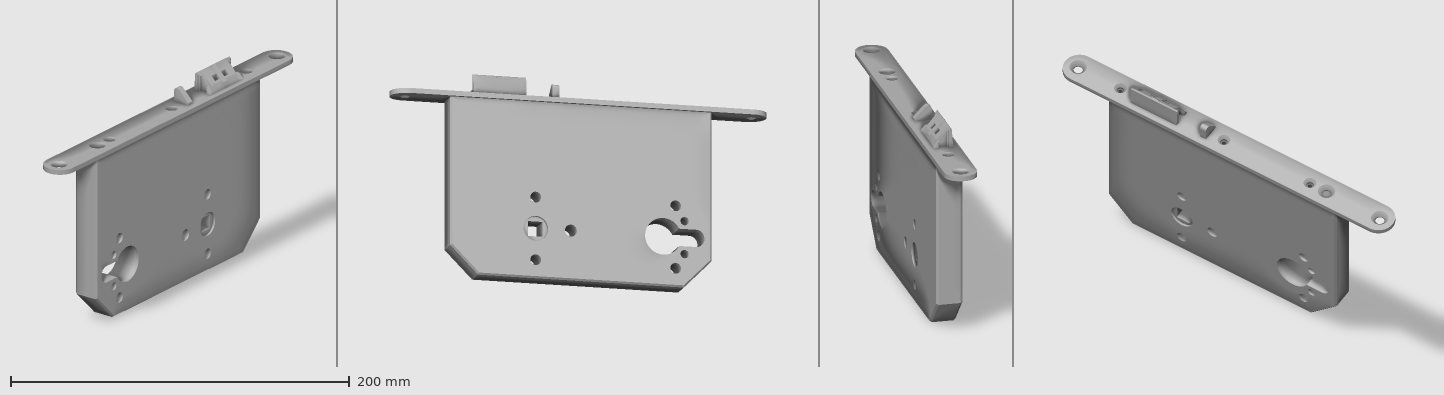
import cadquery as cq
import math


PLATE_WIDTH = 20.0
PLATE_LENGTH = 230.0
PLATE_THICK = 3.0
FIXING_HOLE_Y = PLATE_LENGTH / 2 - 9.0
EXTRA_HOLE_Y = -68.6
FIXING_HOLE_DIA = 5.5
FIXING_SINK_DIA = 10.3
SCREW_YS = (76.3, 3.5, -56.9)
SCREW_HOLE_DIA = 4.1
SCREW_PILOT_DIA = 2.6
SCREW_SINK_DIA = 7.6
SCREW_DEPTH_IN_CASE = 6.0
DRILL_TIP_ANGLE = 118.0
SINK_ANGLE = 90.0

CASE_THICK = 16.0
CASE_LENGTH = 160.0
CASE_BOTTOM_Z = -110.0
CASE_CORNER_CUT = 17.0
EDGE_BEVEL_X = 1.4
EDGE_BEVEL_IN = 1.0

FOLLOWER_Y = 28.0
OPENINGS_Z = -80.0
CYLINDER_Y = FOLLOWER_Y - 78.0
CYLINDER_DIA = 22.2
KEY_SLOT_WIDTH = 10.5
KEY_SLOT_END_Y = CYLINDER_Y - 20.0
HANDLE_HOLE_SPACING = 38.0
HANDLE_HOLE_DIA = 6.5
HANDLE_HOLE_YS = (FOLLOWER_Y, -57.6)
SMALL_HOLE_Y = -63.1
SMALL_HOLE_SPACING = 20.0
SMALL_HOLE_DIA = 5.0
MIDDLE_HOLE_Y = 6.5
MIDDLE_HOLE_DIA = 7.2

FOLLOWER_DIA = 15.0
FOLLOWER_SQUARE = 9.0
FOLLOWER_INSET = 1.5

LATCH_Y = 49.3
LATCH_LENGTH = 32.5
LATCH_HALF_WIDTH = 5.9
LATCH_HEIGHT = 12.0
LATCH_TIP_X = -4.3
LATCH_TIP_BEVEL = 0.7
LATCH_CREASE_X = 3.5
LATCH_CREASE_RADIUS = 3.0
LATCH_CORE_LENGTH = 24.3
WALL_BACK_X = -3.4
RECESS_START_X = -2.4
RECESS_END_X = 2.4
RECESS_FLARE_X = 3.2
RECESS_LIP = 1.2
RECESS_DEPTH = 2.7
RIB_LENGTH = 4.2
RIB_RISE = 0.4
RIB_CREASE_X = 4.8
RIB_FOOT_Z = 10.0
POCKET_LENGTH = 4.5
POCKET_START_X = -0.2
POCKET_VALLEY_X = 1.2
POCKET_END_X = 2.4
POCKET_DROP = 5.0

AUX_Y = 14.9
AUX_LENGTH = 4.2
AUX_HALF_WIDTH = 5.3
AUX_HEIGHT = 9.0
AUX_NOSE_RADIUS = 2.1


def cylinder_along_x(y, z, diameter, length):
    """Cylinder centred on X = 0 with its axis along X."""
    return (
        cq.Workplane("YZ", origin=(-length / 2, 0, 0))
        .center(y, z)
        .circle(diameter / 2)
        .extrude(length)
    )


def prism_along_y(points, y, length):
    """Prism with an XZ outline, centred on the given Y."""
    return (
        cq.Workplane("XZ", origin=(0, y + length / 2, 0))
        .polyline(points)
        .close()
        .extrude(length)
    )


def latch_footprint():
    """Outline of the latch bolt with a flared recess in each end."""
    half = LATCH_LENGTH / 2
    upper = [
        (-LATCH_HALF_WIDTH, half),
        (WALL_BACK_X, half),
        (WALL_BACK_X, half - RECESS_LIP),
        (RECESS_START_X, half - RECESS_LIP),
        (RECESS_START_X, half - RECESS_DEPTH),
        (RECESS_END_X, half - RECESS_DEPTH),
        (RECESS_END_X, half - RECESS_LIP),
        (RECESS_FLARE_X, half),
        (LATCH_HALF_WIDTH, half),
    ]
    lower = [(x, -y) for x, y in reversed(upper)]
    return (
        cq.Workplane("XY", origin=(0, LATCH_Y, -PLATE_THICK))
        .polyline(upper + lower)
        .close()
    )


def aux_footprint():
    """Outline of the auxiliary bolt."""
    return cq.Workplane("XY", origin=(0, AUX_Y, -PLATE_THICK)).rect(2 * AUX_HALF_WIDTH, AUX_LENGTH)


def make_plate():
    """Round-ended plate with countersunk holes and openings for both bolts."""
    plate = (
        cq.Workplane("XY", origin=(0, 0, -PLATE_THICK))
        .slot2D(PLATE_LENGTH, PLATE_WIDTH, 90)
        .extrude(PLATE_THICK)
    )
    top = plate.faces(">Z").workplane(origin=(0, 0, 0))
    plate = top.pushPoints([(0, FIXING_HOLE_Y), (0, EXTRA_HOLE_Y), (0, -FIXING_HOLE_Y)]).cskHole(
        FIXING_HOLE_DIA, FIXING_SINK_DIA, SINK_ANGLE
    )
    top = plate.faces(">Z").workplane(origin=(0, 0, 0))
    plate = top.pushPoints([(0, y) for y in SCREW_YS]).cskHole(
        SCREW_HOLE_DIA, SCREW_SINK_DIA, SINK_ANGLE
    )
    plate = plate.cut(latch_footprint().extrude(PLATE_THICK))
    return plate.cut(aux_footprint().extrude(PLATE_THICK))


def case_slab(inset, thickness):
    """Case outline shrunk by an inset at the sides and bottom, centred on X = 0."""
    half = CASE_LENGTH / 2 - inset
    bottom = CASE_BOTTOM_Z + inset
    cut = CASE_CORNER_CUT - inset * (2 - math.sqrt(2))
    return (
        cq.Workplane("YZ", origin=(-thickness / 2, 0, 0))
        .moveTo(half, -PLATE_THICK)
        .lineTo(half, bottom + cut)
        .lineTo(half - cut, bottom)
        .lineTo(cut - half, bottom)
        .lineTo(-half, bottom + cut)
        .lineTo(-half, -PLATE_THICK)
        .close()
    )


def beveled_case_blank():
    """Case block with beveled side and bottom edges on both broad faces."""
    middle_thick = CASE_THICK - 2 * EDGE_BEVEL_X
    blank = case_slab(0, middle_thick).extrude(middle_thick)
    rim_wire = case_slab(0, middle_thick).val()
    face_wire = case_slab(EDGE_BEVEL_IN, CASE_THICK).val()
    bevel = cq.Workplane(obj=cq.Solid.makeLoft([face_wire, rim_wire], True))
    return blank.union(bevel).union(bevel.mirror("YZ"))


def cylinder_opening():
    """Round cylinder hole with a round-ended key slot."""
    slot_length = CYLINDER_Y - KEY_SLOT_END_Y
    slot = cq.Workplane("XY").box(CASE_THICK, slot_length, KEY_SLOT_WIDTH).translate(
        (0, CYLINDER_Y - slot_length / 2, OPENINGS_Z)
    )
    slot_end = cylinder_along_x(KEY_SLOT_END_Y, OPENINGS_Z, KEY_SLOT_WIDTH, CASE_THICK)
    opening = cylinder_along_x(CYLINDER_Y, OPENINGS_Z, CYLINDER_DIA, CASE_THICK)
    return opening.union(slot).union(slot_end)


def screw_pilot(y):
    """Blind drilled hole with a conical end, going down from the top of the case."""
    radius = SCREW_PILOT_DIA / 2
    tip = radius / math.tan(math.radians(DRILL_TIP_ANGLE / 2))
    bottom = -SCREW_DEPTH_IN_CASE
    profile = [(0, 0), (radius, 0), (radius, bottom), (0, bottom - tip)]
    return (
        cq.Workplane("XZ")
        .polyline(profile)
        .close()
        .revolve(360, (0, 0), (0, 1))
        .translate((0, y, -PLATE_THICK))
    )


def make_case():
    """Case with every opening cut through it and blind holes for the plate screws."""
    case = beveled_case_blank().cut(cylinder_opening())
    case = case.cut(cylinder_along_x(FOLLOWER_Y, OPENINGS_Z, FOLLOWER_DIA, CASE_THICK))
    case = case.cut(cylinder_along_x(MIDDLE_HOLE_Y, OPENINGS_Z, MIDDLE_HOLE_DIA, CASE_THICK))
    for side in (-1, 1):
        handle_z = OPENINGS_Z + side * HANDLE_HOLE_SPACING / 2
        for y in HANDLE_HOLE_YS:
            case = case.cut(cylinder_along_x(y, handle_z, HANDLE_HOLE_DIA, CASE_THICK))
        small_z = OPENINGS_Z + side * SMALL_HOLE_SPACING / 2
        case = case.cut(cylinder_along_x(SMALL_HOLE_Y, small_z, SMALL_HOLE_DIA, CASE_THICK))
    for y in SCREW_YS:
        case = case.cut(screw_pilot(y))
    return case


def make_follower():
    """Round follower with a square hole, set in from both case faces."""
    length = CASE_THICK - 2 * FOLLOWER_INSET
    follower = cylinder_along_x(FOLLOWER_Y, OPENINGS_Z, FOLLOWER_DIA, length)
    square = cq.Workplane("XY").box(length, FOLLOWER_SQUARE, FOLLOWER_SQUARE)
    return follower.cut(square.translate((0, FOLLOWER_Y, OPENINGS_Z)))


def slope_z(x):
    """Height of the 45 degree latch slope."""
    return LATCH_HEIGHT + LATCH_TIP_X - x


def make_latch():
    """Sloped latch bolt with recessed ends, two pockets and a middle rib."""
    base = [(LATCH_HALF_WIDTH, -PLATE_THICK), (-LATCH_HALF_WIDTH, -PLATE_THICK), (-LATCH_HALF_WIDTH, 0)]
    front_top = (LATCH_TIP_X - LATCH_TIP_BEVEL, LATCH_HEIGHT - LATCH_TIP_BEVEL)
    tip = (LATCH_TIP_X, LATCH_HEIGHT)
    toe = (LATCH_HALF_WIDTH, 0)

    wedge = prism_along_y(base + [front_top, tip, toe], LATCH_Y, LATCH_LENGTH)
    latch = latch_footprint().extrude(PLATE_THICK + LATCH_HEIGHT).intersect(wedge)

    crease = (LATCH_CREASE_X, slope_z(LATCH_CREASE_X))
    core = prism_along_y(base + [front_top, tip, crease, toe], LATCH_Y, LATCH_CORE_LENGTH)
    crease_edge = cq.selectors.NearestToPointSelector((crease[0], LATCH_Y, crease[1]))
    latch = latch.union(core.edges(crease_edge).fillet(LATCH_CREASE_RADIUS))

    valley_z = slope_z(POCKET_VALLEY_X) - POCKET_DROP
    pocket = [
        (POCKET_START_X, slope_z(POCKET_START_X) + RIB_RISE),
        (POCKET_START_X, slope_z(POCKET_START_X) - POCKET_DROP),
        (POCKET_VALLEY_X, valley_z),
        (POCKET_END_X, slope_z(POCKET_END_X)),
        (POCKET_END_X, slope_z(POCKET_END_X) + RIB_RISE),
    ]
    latch = latch.cut(prism_along_y(pocket, LATCH_Y, RIB_LENGTH + 2 * POCKET_LENGTH))

    lean = (LATCH_HALF_WIDTH + front_top[0]) / front_top[1]
    rib_front_x = -LATCH_HALF_WIDTH + lean * RIB_FOOT_Z
    rib = base + [
        (rib_front_x, RIB_FOOT_Z),
        (rib_front_x, front_top[1]),
        tip,
        (LATCH_TIP_X + RIB_RISE, LATCH_HEIGHT),
        (RIB_CREASE_X, slope_z(RIB_CREASE_X) + RIB_RISE),
        toe,
    ]
    return latch.union(prism_along_y(rib, LATCH_Y, RIB_LENGTH))


def make_aux_bolt():
    """Bolt with a rounded nose running into a 45 degree slope."""
    half_turn = math.sqrt(0.5)
    center_x = AUX_NOSE_RADIUS - AUX_HALF_WIDTH
    center_z = AUX_HEIGHT - AUX_NOSE_RADIUS
    slope_x = center_x + AUX_NOSE_RADIUS * half_turn
    slope_top_z = center_z + AUX_NOSE_RADIUS * half_turn
    return (
        cq.Workplane("XZ", origin=(0, AUX_Y + AUX_LENGTH / 2, 0))
        .moveTo(AUX_HALF_WIDTH, -PLATE_THICK)
        .lineTo(-AUX_HALF_WIDTH, -PLATE_THICK)
        .lineTo(-AUX_HALF_WIDTH, center_z)
        .threePointArc((center_x, AUX_HEIGHT), (slope_x, slope_top_z))
        .lineTo(AUX_HALF_WIDTH, slope_top_z - (AUX_HALF_WIDTH - slope_x))
        .close()
        .extrude(AUX_LENGTH)
    )


plate = make_plate()
case = make_case()
follower = make_follower()
latch = make_latch()
aux_bolt = make_aux_bolt()

bodies = [plate, case, follower, latch, aux_bolt]

result = cq.Compound.makeCompound([solid for body in bodies for solid in body.solids().vals()])